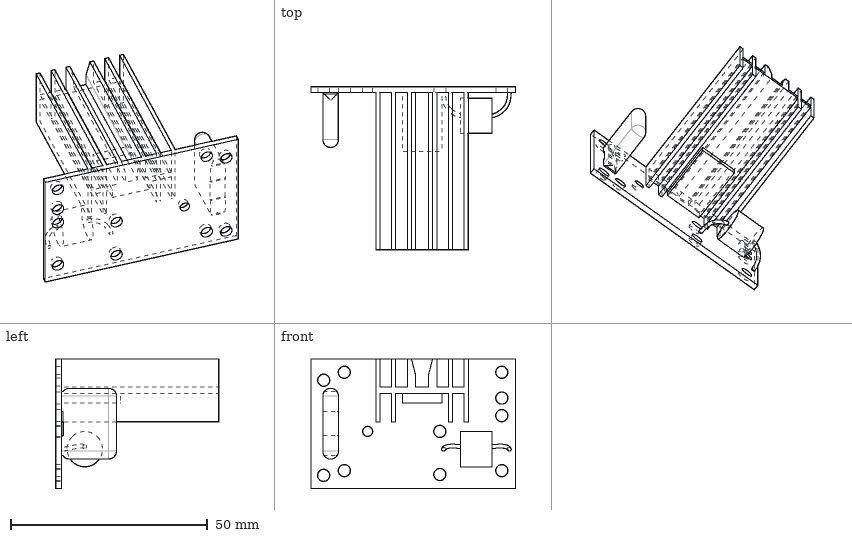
import cadquery as cq


BOARD_WIDTH = 52.0
BOARD_HEIGHT = 33.0
BOARD_THICKNESS = 1.5
HOLE_DIAMETER = 3.0
SMALL_HOLE_DIAMETER = 2.5
LEFT_HOLE_X = 3.2
INNER_LEFT_HOLE_X = 8.5
MIDDLE_HOLE_X = 32.75
RIGHT_HOLE_X = 48.5
CORNER_HOLE_LOW_Z = 4.6
CORNER_HOLE_HIGH_Z = 29.6
HOLE_CENTERS = [
    (LEFT_HOLE_X, 3.4),
    (LEFT_HOLE_X, 27.55),
    (INNER_LEFT_HOLE_X, CORNER_HOLE_LOW_Z),
    (INNER_LEFT_HOLE_X, CORNER_HOLE_HIGH_Z),
    (MIDDLE_HOLE_X, 3.6),
    (MIDDLE_HOLE_X, 14.55),
    (RIGHT_HOLE_X, CORNER_HOLE_LOW_Z),
    (RIGHT_HOLE_X, 18.55),
    (RIGHT_HOLE_X, 23.05),
    (RIGHT_HOLE_X, CORNER_HOLE_HIGH_Z),
]
SMALL_HOLE_CENTER = (14.4, 14.55)

SINK_LENGTH = 41.5 - BOARD_THICKNESS
SINK_WIDTH = 23.5
SINK_CENTER_X = 28.25
SINK_HEIGHT = 16.0
FIN_THICKNESS = 1.05
FIN_PITCH = 4.0
FULL_FINS_PER_SIDE = 2
WEB_THICKNESS = 1.55
UPPER_FIN_HEIGHT = 7.25
TAPER_HEIGHT = 4.0
TAPERED_FIN_ROOT = 2.1

TRANSISTOR_WIDTH = 10.05
TRANSISTOR_X = 28.35
TRANSISTOR_THICKNESS = 2.5
TRANSISTOR_LENGTH = 15.0

CAPACITOR_THICKNESS = 4.0
CAPACITOR_HEIGHT = 18.0
CAPACITOR_DEPTH = 14.0
CAPACITOR_X = 5.0
CAPACITOR_Z = BOARD_HEIGHT / 2
FOOT_HEIGHT = 0.35
FOOT_GAP = 6.1

COIL_DIAMETER = 9.0
COIL_LENGTH = 8.0
COIL_X = 42.05
COIL_Z = 10.05
COIL_CLEARANCE = 1.4
LEAD_DIAMETER = 1.0
LEAD_REACH = 8.35
LEAD_RISE = 0.7
LEAD_BEND_POINTS = [(7.65, -3.35, 0.55), (6.15, -4.95, 0.8)]

EMBED = 0.5


def block(x_range, y_range, z_range):
    """Box given by its lower and upper limit along each axis."""
    lows, highs = zip(x_range, y_range, z_range)
    sizes = [high - low for low, high in zip(lows, highs)]
    return cq.Workplane("XY").box(*sizes, centered=False).translate(lows)


def make_board():
    board = block((0, BOARD_WIDTH), (0, BOARD_THICKNESS), (0, BOARD_HEIGHT))
    holes = cq.Workplane("XZ").pushPoints(HOLE_CENTERS).circle(HOLE_DIAMETER / 2)
    small_hole = cq.Workplane("XZ").center(*SMALL_HOLE_CENTER).circle(SMALL_HOLE_DIAMETER / 2)
    return board.cut(holes.extrude(-BOARD_THICKNESS)).cut(small_hole.extrude(-BOARD_THICKNESS))


def make_heat_sink():
    top = BOARD_HEIGHT
    web_top = top - UPPER_FIN_HEIGHT
    web_bottom = web_top - WEB_THICKNESS
    bottom = top - SINK_HEIGHT
    left = SINK_CENTER_X - SINK_WIDTH / 2
    depth = (-SINK_LENGTH, 0)

    half = block((left, SINK_CENTER_X), depth, (web_bottom, web_top))
    for index in range(FULL_FINS_PER_SIDE):
        fin_left = left + index * FIN_PITCH
        half = half.union(block((fin_left, fin_left + FIN_THICKNESS), depth, (bottom, top)))
    tapered_left = left + FULL_FINS_PER_SIDE * FIN_PITCH
    tapered_fin = (
        cq.Workplane("XZ")
        .moveTo(tapered_left, web_bottom)
        .lineTo(tapered_left, top)
        .lineTo(tapered_left + FIN_THICKNESS, top)
        .lineTo(tapered_left + TAPERED_FIN_ROOT, top - TAPER_HEIGHT)
        .lineTo(tapered_left + TAPERED_FIN_ROOT, web_bottom)
        .close()
        .extrude(SINK_LENGTH)
    )
    half = half.union(tapered_fin)
    sink = half.union(half.mirror("YZ", (SINK_CENTER_X, 0, 0)))

    transistor = block(
        (TRANSISTOR_X - TRANSISTOR_WIDTH / 2, TRANSISTOR_X + TRANSISTOR_WIDTH / 2),
        (-TRANSISTOR_LENGTH, 0),
        (web_bottom - TRANSISTOR_THICKNESS, web_bottom),
    )
    return sink.union(transistor)


def make_capacitor():
    radius = CAPACITOR_THICKNESS / 2
    half_height = CAPACITOR_HEIGHT / 2
    end_offset = half_height - radius
    straight_depth = CAPACITOR_DEPTH - radius

    body = (
        cq.Workplane("XZ")
        .slot2D(CAPACITOR_HEIGHT, CAPACITOR_THICKNESS, 90)
        .extrude(straight_depth)
    )
    front_edge = (
        cq.Workplane("XY", origin=(0, -straight_depth, -end_offset))
        .circle(radius)
        .extrude(2 * end_offset)
    )
    body = body.union(front_edge)
    for end in (-end_offset, end_offset):
        body = body.union(cq.Workplane("XY").sphere(radius).translate((0, -straight_depth, end)))

    arc_drop = (radius**2 - (radius - FOOT_HEIGHT) ** 2) ** 0.5
    foot_z = end_offset + arc_drop
    mid_y = (FOOT_HEIGHT + radius) / 2
    mid_z = end_offset + (radius**2 - (radius - mid_y) ** 2) ** 0.5
    side_outline = (
        cq.Workplane("YZ")
        .moveTo(0, -foot_z)
        .lineTo(-FOOT_HEIGHT, -foot_z)
        .threePointArc((-mid_y, -mid_z), (-radius, -half_height))
        .lineTo(-CAPACITOR_DEPTH, -half_height)
        .lineTo(-CAPACITOR_DEPTH, half_height)
        .lineTo(-radius, half_height)
        .threePointArc((-mid_y, mid_z), (-FOOT_HEIGHT, foot_z))
        .lineTo(0, foot_z)
        .close()
        .extrude(radius, both=True)
    )
    gap = block((-radius, radius), (-FOOT_HEIGHT, 0), (-FOOT_GAP / 2, FOOT_GAP / 2))
    return body.intersect(side_outline).cut(gap).translate((CAPACITOR_X, 0, CAPACITOR_Z))


def make_coil():
    radius = COIL_DIAMETER / 2
    axis_y = -(COIL_CLEARANCE + radius)
    coil = (
        cq.Workplane("YZ", origin=(-COIL_LENGTH / 2, axis_y, 0))
        .circle(radius)
        .extrude(COIL_LENGTH)
    )

    lead_path = cq.Workplane("XY").spline(
        [
            (LEAD_REACH, EMBED, 0),
            (LEAD_REACH, 0, 0),
            *LEAD_BEND_POINTS,
            (COIL_LENGTH / 2, axis_y, LEAD_RISE),
            (COIL_LENGTH / 2 - EMBED, axis_y, LEAD_RISE),
        ]
    )
    lead = (
        cq.Workplane("XZ", origin=(LEAD_REACH, EMBED, 0))
        .circle(LEAD_DIAMETER / 2)
        .sweep(lead_path)
    )
    coil = coil.union(lead).union(lead.mirror("YZ"))
    return coil.translate((COIL_X, 0, COIL_Z))


result = make_board().union(make_heat_sink()).union(make_capacitor()).union(make_coil())